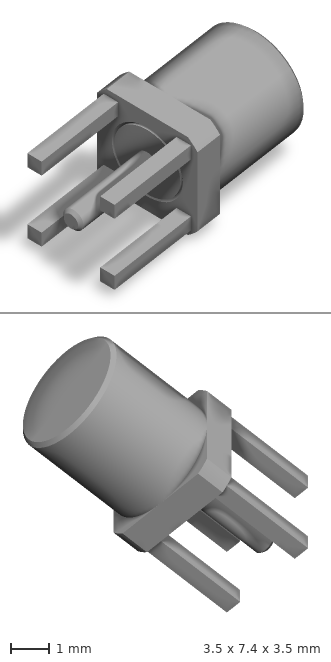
import cadquery as cq


body_width = 3.5
flange_thickness = 0.9
flange_corner_diameter = 4.5
barrel_length = 3.45
barrel_chamfer = 0.11

groove_outer_diameter = 2.46
groove_inner_diameter = 2.3
groove_depth = (groove_outer_diameter - groove_inner_diameter) / 2

lead_length = 3.05
pin_diameter = 0.7
pin_chamfer = 0.1
leg_width = 0.5
leg_pitch = 2.54


def plane_at(y):
    """XZ work plane at height y; its normal, and so extrusion, points along -Y."""
    return cq.Workplane("XZ", origin=(0, y, 0))


def make_flange():
    """Square flange whose corners are turned down to a circle about the axis."""
    square = plane_at(flange_thickness).rect(body_width, body_width).extrude(flange_thickness)
    turned = plane_at(flange_thickness).circle(flange_corner_diameter / 2).extrude(flange_thickness)
    return square.intersect(turned)


def make_barrel():
    """Round barrel with a chamfered mating end."""
    mating_end = flange_thickness + barrel_length
    barrel = plane_at(mating_end).circle(body_width / 2).extrude(barrel_length)
    return barrel.faces(">Y").chamfer(barrel_chamfer)


def make_groove():
    """Triangular ring that separates the insulator from the flange."""
    inner_radius = groove_inner_diameter / 2
    outer_radius = groove_outer_diameter / 2
    section = (
        cq.Workplane("XY")
        .moveTo(inner_radius, 0)
        .lineTo(outer_radius, 0)
        .lineTo(inner_radius, groove_depth)
        .close()
    )
    return section.revolve(360, (0, 0), (0, 1))


def make_pin():
    """Centre pin with a chamfered tip."""
    pin = plane_at(0).circle(pin_diameter / 2).extrude(lead_length)
    return pin.faces("<Y").chamfer(pin_chamfer)


def make_legs():
    """Four square ground legs on a square pitch."""
    return (
        plane_at(0)
        .rarray(leg_pitch, leg_pitch, 2, 2)
        .rect(leg_width, leg_width)
        .extrude(lead_length)
    )


body = make_flange().union(make_barrel()).cut(make_groove())
result = body.union(make_pin()).union(make_legs())